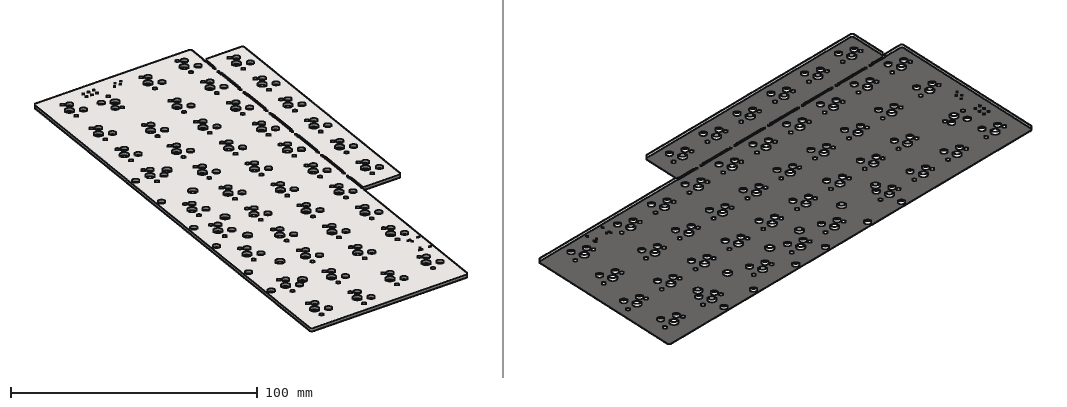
import cadquery as cq

LENGTH = 204.8
THICKNESS = 1.6
BOARD_COLUMNS = 10.75
BOARD_ROWS = 5
KEY_UNIT = LENGTH / BOARD_COLUMNS
DEPTH = BOARD_ROWS * KEY_UNIT
CORNER_RADIUS = 1.0

STRIP_START = 0.5
STRIP_END = 6.625
STRIP_ROW = 4
SLOT_BACK_OFFSET = 0.6
SLOT_FRONT_OFFSET = -0.2
SLOT_WIDTH = SLOT_BACK_OFFSET - SLOT_FRONT_OFFSET
TAB_COLUMNS = [1, 2, 3, 4, 5, 6]
TAB_WIDTH = 5.5
BITE_DIAMETER = 0.75
BITE_OFFSETS = [-2.3, -1.2, 1.2, 2.3]

KEY_ROWS = [
    (4.5, [1 + i for i in range(6)]),
    (3.5, [0.5 + i for i in range(9)] + [9.875]),
    (2.5, [0.625] + [1.75 + i for i in range(8)] + [10]),
    (1.5, [2.25 + i for i in range(9)]),
    (0.5, [0.625, 1.75, 2.75, 3.75, 5.375, 6.375, 7.5, 9, 10.125]),
]
TURNED_KEY = (0.875, 1.5)

GRID_STEPS = 15
GRID = KEY_UNIT / GRID_STEPS
STEM_DIAMETER = 3.9
PEG_DIAMETER = 1.75
CONTACT_DIAMETER = 3.0
PEGS = [(-4 * GRID, 0), (4 * GRID, 0)]
CONTACTS = [(-3 * GRID, 2 * GRID), (2 * GRID, 4 * GRID)]

STABILIZERS = [(5.375, 1.25), (7.5, 1.25), (6.375, 5.25)]
STABILIZER_ROW = 0.5
STABILIZER_BACK_DIAMETER = 3.9
STABILIZER_FRONT_DIAMETER = 3.0
STABILIZER_BACK_OFFSET = 8.2
STABILIZER_FRONT_OFFSET = 7.0

HEADER_X = -96.7
HEADER_Y = -24.0
HEADER_PITCH = 2 * GRID
HEADER_DIAMETER = 1.0

ZIGZAG_X = -96.7
ZIGZAG_Y = -10.6
ZIGZAG_SHIFT = 1.8
ZIGZAG_PITCH = 1.5
ZIGZAG_PINS = 4
ZIGZAG_DIAMETER = 0.78

USB_X = 72.0
SHELL_HALF_SPACING = 4.3
SHELL_SLOT_WIDTH = 0.6
SHELL_BACK_Y = 27.0
SHELL_BACK_LENGTH = 1.2
SHELL_FRONT_Y = 22.5
SHELL_FRONT_LENGTH = 1.7
USB_PEG_HALF_SPACING = 2.9
USB_PEG_Y = 23.1
USB_PEG_DIAMETER = 0.65


def unit_x(columns):
    """X of a place counted in key units from the left edge."""
    return columns * KEY_UNIT - LENGTH / 2


def unit_y(rows):
    """Y of a place counted in key units from the front edge."""
    return rows * KEY_UNIT - DEPTH / 2


def rounded_plate(left, right, front, back):
    plate = cq.Workplane("XY").box(right - left, back - front, THICKNESS, centered=False)
    return plate.edges("|Z").fillet(CORNER_RADIUS).translate((left, front, 0))


def drills(diameter, points):
    """Round cutters through the board at the given points."""
    return cq.Workplane("XY").pushPoints(points).circle(diameter / 2).extrude(THICKNESS)


def upright_slots(length, width, points):
    return cq.Workplane("XY").pushPoints(points).slot2D(length, width, 90).extrude(THICKNESS)


def footprint(offsets):
    """The given footprint offsets at every key, half a turn round at the turned key."""
    points = []
    for row, columns in KEY_ROWS:
        for column in columns:
            points += [(unit_x(column) + dx, unit_y(row) + dy) for dx, dy in offsets]
    turned_x = unit_x(TURNED_KEY[0])
    turned_y = unit_y(TURNED_KEY[1])
    return points + [(turned_x - dx, turned_y - dy) for dx, dy in offsets]


def board():
    seam_y = unit_y(STRIP_ROW)
    strip_left = unit_x(STRIP_START)
    strip_right = unit_x(STRIP_END)
    slot_front = seam_y + SLOT_FRONT_OFFSET
    slot_back = seam_y + SLOT_BACK_OFFSET
    main = rounded_plate(unit_x(0), unit_x(BOARD_COLUMNS), unit_y(0), seam_y)
    slot = (
        cq.Workplane("XY")
        .box(strip_right - strip_left, SLOT_WIDTH, THICKNESS, centered=False)
        .translate((strip_left, slot_front, 0))
    )
    strip = rounded_plate(strip_left, strip_right, slot_back, unit_y(BOARD_ROWS))
    tab_centres = [(unit_x(column), (slot_front + slot_back) / 2) for column in TAB_COLUMNS]
    tabs = (
        cq.Workplane("XY")
        .pushPoints(tab_centres)
        .rect(TAB_WIDTH, 3 * SLOT_WIDTH)
        .extrude(THICKNESS)
    )
    bites = [(unit_x(column) + offset, seam_y) for column in TAB_COLUMNS for offset in BITE_OFFSETS]
    return main.cut(slot).union(strip).union(tabs).cut(drills(BITE_DIAMETER, bites))


def switch_holes():
    stems = drills(STEM_DIAMETER, footprint([(0, 0)]))
    pegs = drills(PEG_DIAMETER, footprint(PEGS))
    return stems.union(pegs).union(drills(CONTACT_DIAMETER, footprint(CONTACTS)))


def stabilizer_holes():
    columns = [centre + side * spacing / 2 for centre, spacing in STABILIZERS for side in (-1, 1)]
    row_y = unit_y(STABILIZER_ROW)
    back = [(unit_x(column), row_y + STABILIZER_BACK_OFFSET) for column in columns]
    front = [(unit_x(column), row_y - STABILIZER_FRONT_OFFSET) for column in columns]
    return drills(STABILIZER_BACK_DIAMETER, back).union(drills(STABILIZER_FRONT_DIAMETER, front))


def header_holes():
    return (
        cq.Workplane("XY")
        .center(HEADER_X, HEADER_Y)
        .rarray(HEADER_PITCH, HEADER_PITCH, 2, 3)
        .circle(HEADER_DIAMETER / 2)
        .extrude(THICKNESS)
    )


def zigzag_holes():
    pins = []
    for pin in range(ZIGZAG_PINS):
        side = pin % 2 - 0.5
        row = (ZIGZAG_PINS - 1) / 2 - pin
        pins.append((ZIGZAG_X + side * ZIGZAG_SHIFT, ZIGZAG_Y + row * ZIGZAG_PITCH))
    return drills(ZIGZAG_DIAMETER, pins)


def usb_holes():
    shell_columns = [USB_X - SHELL_HALF_SPACING, USB_X + SHELL_HALF_SPACING]
    back = [(x, SHELL_BACK_Y) for x in shell_columns]
    front = [(x, SHELL_FRONT_Y) for x in shell_columns]
    pegs = [(USB_X + side * USB_PEG_HALF_SPACING, USB_PEG_Y) for side in (-1, 1)]
    return (
        upright_slots(SHELL_BACK_LENGTH, SHELL_SLOT_WIDTH, back)
        .union(upright_slots(SHELL_FRONT_LENGTH, SHELL_SLOT_WIDTH, front))
        .union(drills(USB_PEG_DIAMETER, pegs))
    )


result = board()
for holes in (switch_holes(), stabilizer_holes(), header_holes(), zigzag_holes(), usb_holes()):
    result = result.cut(holes)